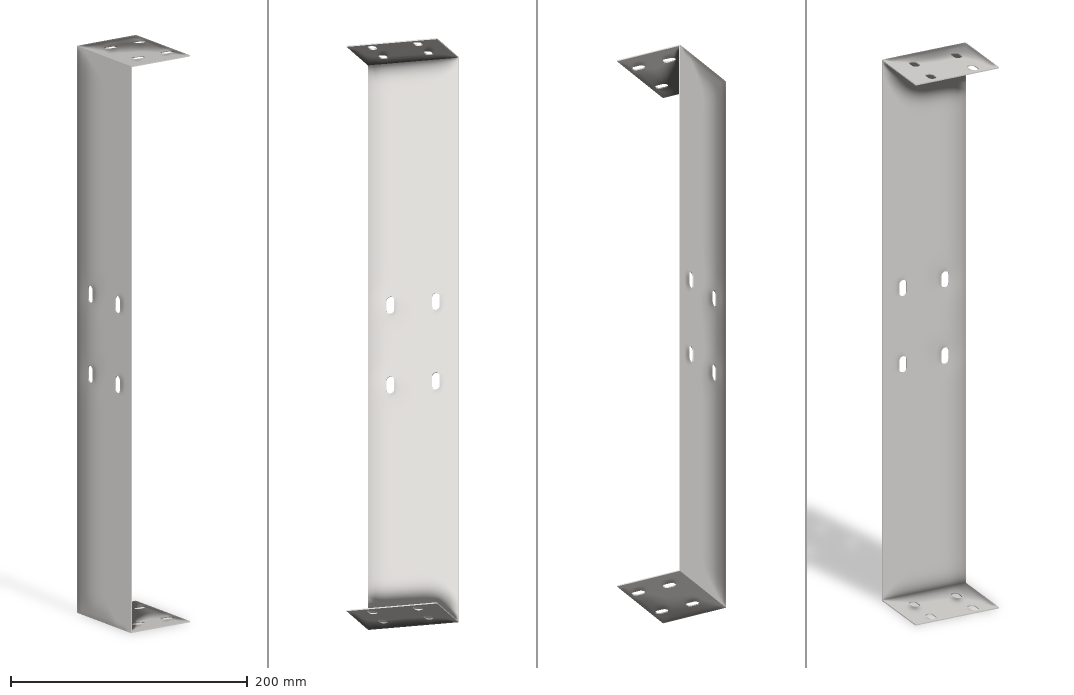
import cadquery as cq

width = 80.0
depth = 61.0
height = 496.5
thickness = 1.0

slot_width = 7.0
column_spacing = 40.0

web_slot_length = 15.0
web_row_spacing = 70.0

flange_slot_length = 12.0
flange_row_spacing = 30.0
edge_to_first_row = 10.0


def c_channel():
    """Sheet bent into a web facing -Y with two flanges pointing to +Y."""
    outer = cq.Workplane("XY").box(width, depth, height)
    inner_height = height - 2 * thickness
    gap = cq.Workplane("XY").box(width, depth, inner_height).translate((0, thickness, 0))
    return outer.cut(gap)


def web_slots():
    """Upright slots through the web only."""
    return (
        cq.Workplane("XZ", origin=(0, -depth / 2 + thickness, 0))
        .rarray(column_spacing, web_row_spacing, 2, 2)
        .slot2D(web_slot_length, slot_width, 90)
        .extrude(thickness)
    )


def flange_slots():
    """Slots along Y that pass through both flanges."""
    pattern_y = depth / 2 - edge_to_first_row - flange_row_spacing / 2
    return (
        cq.Workplane("XY", origin=(0, pattern_y, -height / 2))
        .rarray(column_spacing, flange_row_spacing, 2, 2)
        .slot2D(flange_slot_length, slot_width, 90)
        .extrude(height)
    )


result = c_channel().cut(web_slots()).cut(flange_slots())